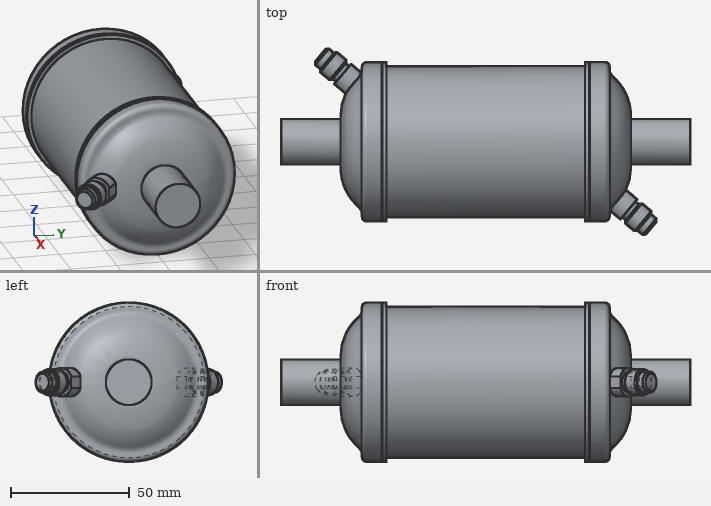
import cadquery as cq
import math

HALF_LENGTH = 86.0
TUBE_RADIUS = 9.6

SHELL_RADIUS = 31.8
RIM_RADIUS = 33.5
RIM_INNER_X = 41.8
RIM_OUTER_X = 52.1
RIM_ROUND = 2.2
SEAM_INSET = 1.5
SEAM_WIDTH = 0.5
SEAM_DEPTH = 0.3

DOME_FACE_X = 61.0
DOME_FLAT_RADIUS = 10.8
DOME_ARC_RADIUS = 21.7
BLEND_RADIUS = 3.5

FITTING_ANGLE = 40.0
FITTING_END_X = 69.5
FITTING_END_Y = 36.3
BASE_RADIUS = 6.0
BASE_ACROSS_FLATS = 11.0
BASE_LENGTH = 5.5
BASE_EMBED = 5.2
NECK_RADIUS = 4.3
NECK_LENGTH = 1.9
COLLAR_RADIUS = 5.5
COLLAR_LENGTH = 6.5
COLLAR_CHAMFER = 0.7
TIP_RADIUS = 4.5
TIP_LENGTH = 3.8
TIP_CHAMFER = 0.9


def arc_point(center, radius, degrees):
    angle = math.radians(degrees)
    return (center[0] + radius * math.cos(angle), center[1] + radius * math.sin(angle))


def half_body():
    """Revolve the +X half of the vessel about the X axis; points are (x, radius)."""
    seam_start = RIM_INNER_X + SEAM_INSET
    seam_end = seam_start + SEAM_WIDTH
    seam_radius = RIM_RADIUS - SEAM_DEPTH

    dome_center = (DOME_FACE_X - DOME_ARC_RADIUS, DOME_FLAT_RADIUS)
    dome_edge = arc_point(dome_center, DOME_ARC_RADIUS, 45)

    blend_center_x = RIM_OUTER_X + BLEND_RADIUS
    cone_end_x = blend_center_x - BLEND_RADIUS * math.cos(math.radians(45))
    cone_end_radius = dome_edge[1] + dome_edge[0] - cone_end_x
    blend_center = (blend_center_x, cone_end_radius + BLEND_RADIUS * math.sin(math.radians(45)))

    round_center = (RIM_OUTER_X - RIM_ROUND, RIM_RADIUS - RIM_ROUND)

    profile = (
        cq.Workplane("XY")
        .moveTo(0, 0)
        .lineTo(0, SHELL_RADIUS)
        .lineTo(RIM_INNER_X, SHELL_RADIUS)
        .lineTo(RIM_INNER_X, RIM_RADIUS)
        .lineTo(seam_start, RIM_RADIUS)
        .lineTo(seam_start, seam_radius)
        .lineTo(seam_end, seam_radius)
        .lineTo(seam_end, RIM_RADIUS)
        .lineTo(round_center[0], RIM_RADIUS)
        .threePointArc(arc_point(round_center, RIM_ROUND, 45), (RIM_OUTER_X, round_center[1]))
        .lineTo(RIM_OUTER_X, blend_center[1])
        .threePointArc(
            arc_point(blend_center, BLEND_RADIUS, 202.5),
            (cone_end_x, cone_end_radius),
        )
        .lineTo(*dome_edge)
        .threePointArc(
            arc_point(dome_center, DOME_ARC_RADIUS, 22.5),
            (DOME_FACE_X, DOME_FLAT_RADIUS),
        )
        .lineTo(DOME_FACE_X, TUBE_RADIUS)
        .lineTo(HALF_LENGTH, TUBE_RADIUS)
        .lineTo(HALF_LENGTH, 0)
        .close()
    )
    return profile.revolve(360, (0, 0, 0), (1, 0, 0))


def fitting():
    """Build the fitting on the +X, -Y side, starting from the centre of its tip face."""
    angle = math.radians(FITTING_ANGLE)
    inward = (-math.cos(angle), math.sin(angle), 0)
    plane = cq.Plane(origin=(FITTING_END_X, -FITTING_END_Y, 0), xDir=(0, 0, 1), normal=inward)

    collar_start = TIP_LENGTH
    neck_start = collar_start + COLLAR_LENGTH
    base_start = neck_start + NECK_LENGTH

    def section(start):
        return cq.Workplane(plane).workplane(offset=start)

    tip = section(0).circle(TIP_RADIUS).extrude(TIP_LENGTH)
    tip = tip.faces(cq.selectors.DirectionMinMaxSelector(plane.zDir, False)).chamfer(TIP_CHAMFER)
    collar = section(collar_start).circle(COLLAR_RADIUS).extrude(COLLAR_LENGTH)
    collar = collar.edges("%CIRCLE").chamfer(COLLAR_CHAMFER)
    neck = section(neck_start).circle(NECK_RADIUS).extrude(NECK_LENGTH)
    base_depth = BASE_LENGTH + BASE_EMBED
    flats = section(base_start).rect(2 * BASE_RADIUS, BASE_ACROSS_FLATS).extrude(base_depth)
    base = section(base_start).circle(BASE_RADIUS).extrude(base_depth).intersect(flats)
    return tip.union(collar).union(neck).union(base)


half = half_body().union(fitting())
opposite_half = half.rotate((0, 0, 0), (0, 0, 1), 180)
result = half.union(opposite_half)